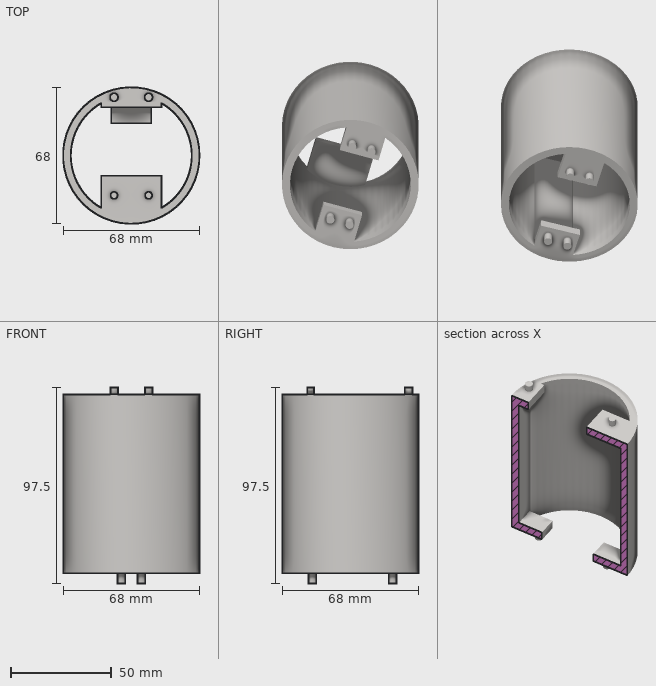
import cadquery as cq

total_height = 97.5
outer_diameter = 68.0
inner_diameter = 60.1
top_pin_height = 3.5
bottom_pin_height = 5.1
body_height = total_height - top_pin_height - bottom_pin_height

block_height = 5.0
top_block_width = 30.0
bottom_block_width = 20.0
top_rear_face_y = 24.0
top_front_face_y = -10.0
bottom_rear_face_y = 16.0
bottom_pin_inset = 5.0

pin_diameter = 4.0
small_pin_diameter = 3.5
top_pin_x = 8.6
top_rear_pin_y = 29.0
top_front_pin_y = -19.8
bottom_pin_x = 5.0
bottom_rear_pin_y = bottom_rear_face_y + bottom_pin_inset
bottom_front_pin_y = -18.9
bottom_front_face_y = bottom_front_pin_y + bottom_pin_inset

recess_back_y = 29.4

top_block_z = body_height - block_height


def cylinder(diameter, height, base_z=0):
    return cq.Workplane("XY").workplane(offset=base_z).circle(diameter / 2).extrude(height)


def box_between(width, y_start, y_end, base_z, height):
    """Box centred on X, spanning the given Y and Z ranges."""
    return (
        cq.Workplane("XY")
        .workplane(offset=base_z)
        .center(0, (y_start + y_end) / 2)
        .rect(width, abs(y_end - y_start))
        .extrude(height)
    )


def wall_block(width, face_y, base_z, height):
    """Block from a flat inner face out to the shell's outer surface."""
    wall_y = outer_diameter / 2 if face_y > 0 else -outer_diameter / 2
    block = box_between(width, face_y, wall_y, base_z, height)
    return block.intersect(cylinder(outer_diameter, height, base_z))


def pin_pair(x, y, diameter, base_z, height):
    """Two pins mirrored about X = 0."""
    return (
        cq.Workplane("XY")
        .workplane(offset=base_z)
        .pushPoints([(-x, y), (x, y)])
        .circle(diameter / 2)
        .extrude(height)
    )


shell = cylinder(outer_diameter, body_height).cut(cylinder(inner_diameter, body_height))
recess_height = top_block_z - block_height
shell = shell.cut(box_between(bottom_block_width, 0, recess_back_y, block_height, recess_height))

recess_back = wall_block(bottom_block_width, recess_back_y, block_height, recess_height)
shell = shell.union(recess_back)

result = shell
for face_y in (top_rear_face_y, top_front_face_y):
    result = result.union(wall_block(top_block_width, face_y, top_block_z, block_height))
for face_y in (bottom_rear_face_y, bottom_front_face_y):
    result = result.union(wall_block(bottom_block_width, face_y, 0, block_height))

for y, diameter in ((top_rear_pin_y, pin_diameter), (top_front_pin_y, small_pin_diameter)):
    result = result.union(pin_pair(top_pin_x, y, diameter, body_height, top_pin_height))

for y in (bottom_rear_pin_y, bottom_front_pin_y):
    result = result.union(pin_pair(bottom_pin_x, y, pin_diameter, -bottom_pin_height, bottom_pin_height))